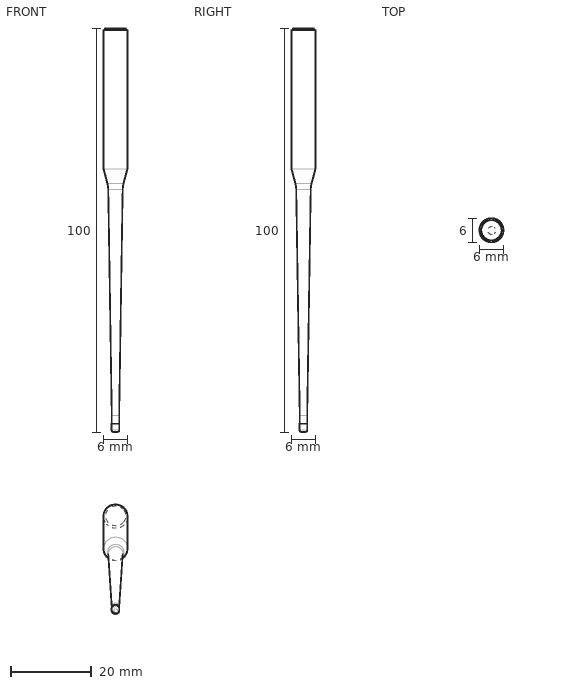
import cadquery as cq
import math

overall_length = 100.0
shank_radius = 3.0
shank_chamfer = 0.5

seam_angle = -90

tip_radius = 1.0
tip_length = 2.0
corner_radius = 0.5

relief_radius = 0.95
relief_top_z = 4.1
neck_top_z = 60.1
neck_half_angle = 0.9
neck_top_radius = relief_radius + (neck_top_z - relief_top_z) * math.tan(math.radians(neck_half_angle))

blend_height = 1.5
blend_top_z = neck_top_z + blend_height
shank_bottom_z = 65.2
cone_half_angle = 15
blend_top_radius = shank_radius - (shank_bottom_z - blend_top_z) * math.tan(math.radians(cone_half_angle))


def make_shank():
    """Cylindrical shank, conical shoulder, tapered neck and relief, turned about Z."""
    profile = (
        cq.Workplane("XZ")
        .moveTo(0, tip_length)
        .lineTo(relief_radius, tip_length)
        .lineTo(relief_radius, relief_top_z)
        .lineTo(neck_top_radius, neck_top_z)
        .tangentArcPoint((blend_top_radius, blend_top_z), relative=False)
        .lineTo(shank_radius, shank_bottom_z)
        .lineTo(shank_radius, overall_length - shank_chamfer)
        .lineTo(shank_radius - shank_chamfer, overall_length)
        .lineTo(0, overall_length)
        .close()
    )
    return profile.revolve(360, (0, 0, 0), (0, 1, 0)).rotate((0, 0, 0), (0, 0, 1), seam_angle)


def make_cutting_tip():
    """Short cylindrical cutting tip with a rounded lower corner."""
    tip = cq.Workplane("XY").circle(tip_radius).extrude(tip_length).faces("<Z").edges().fillet(corner_radius)
    return tip.rotate((0, 0, 0), (0, 0, 1), seam_angle)


shank = make_shank()
cutting_tip = make_cutting_tip()

result = cq.Compound.makeCompound([shank.val(), cutting_tip.val()])